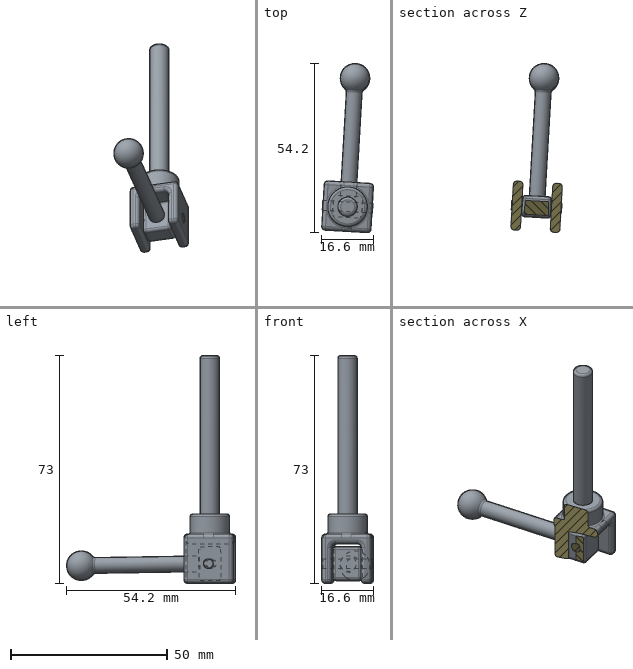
import cadquery as cq
TOTAL_HEIGHT = 73.0
FORK_WIDTH = 15.85
FORK_HEIGHT = 15.85
FORK_FILLET = 1.25
BOSS_DIAMETER = 12.7
BOSS_TOP_Z = 22.3
BOSS_BASE_FILLET = 0.5
SHANK_DIAMETER = 6.2
TOP_FILLET = 0.9

SLOT_WIDTH = 9.5
SLOT_HEIGHT = 12.7
SLOT_CORNER_RADIUS = 1.25

PIN_DIAMETER = 3.15
PIN_HEIGHT = 6.35
PIN_END_FILLET = 0.2
PIN_PROTRUSION = 0.15
PIN_LENGTH = FORK_WIDTH + 2 * PIN_PROTRUSION
BLOCK_WIDTH = 9.2
BLOCK_DEPTH = 6.7
BLOCK_HEIGHT = 10.9
BLOCK_FILLET = 0.95
LEVER_DIAMETER = 5.1
BALL_DIAMETER = 9.5
BALL_DISTANCE = 41.25
NECK_FILLET = 0.9

LEVER_DROOP = 0.9
YAW = -3.3

SELECTION_MARGIN = 0.1


def pivot_cylinder(length):
    """Cylinder along X, centred on the pivot axis; both the pin and the bores it fills."""
    return (
        cq.Workplane("YZ")
        .workplane(offset=-length / 2)
        .center(0, PIN_HEIGHT)
        .circle(PIN_DIAMETER / 2)
        .extrude(length)
    )


def make_pin():
    return pivot_cylinder(PIN_LENGTH).faces("<X or >X").edges().fillet(PIN_END_FILLET)


def make_fork():
    """Slotted head, boss and shank. The boss base is blended before the head edges are rounded."""
    head = cq.Workplane("XY").box(FORK_WIDTH, FORK_WIDTH, FORK_HEIGHT, centered=(True, True, False))
    slot = (
        cq.Workplane("XY")
        .box(SLOT_WIDTH, FORK_WIDTH, SLOT_HEIGHT, centered=(True, True, False))
        .edges("|Y and >Z")
        .fillet(SLOT_CORNER_RADIUS)
    )
    boss = (
        cq.Workplane("XY")
        .workplane(offset=FORK_HEIGHT)
        .circle(BOSS_DIAMETER / 2)
        .extrude(BOSS_TOP_Z - FORK_HEIGHT)
    )
    body = head.cut(slot).union(boss)

    base_rim = body.edges("%CIRCLE").edges(cq.selectors.NearestToPointSelector((0, 0, FORK_HEIGHT)))
    body = base_rim.fillet(BOSS_BASE_FILLET)
    body = body.edges(head_edges()).fillet(FORK_FILLET)
    body = body.faces(">Z").edges().fillet(TOP_FILLET)

    shank = (
        cq.Workplane("XY")
        .workplane(offset=BOSS_TOP_Z)
        .circle(SHANK_DIAMETER / 2)
        .extrude(TOTAL_HEIGHT - BOSS_TOP_Z)
        .faces(">Z")
        .edges()
        .fillet(TOP_FILLET)
    )
    return body.union(shank).cut(pivot_cylinder(FORK_WIDTH))


def head_edges():
    """Selector for every edge of the head, leaving out the rings around the boss."""
    top = FORK_HEIGHT + SELECTION_MARGIN
    whole_head = cq.selectors.BoxSelector(
        (-FORK_WIDTH, -FORK_WIDTH, -FORK_HEIGHT), (FORK_WIDTH, FORK_WIDTH, top)
    )
    on_axis = SELECTION_MARGIN
    boss_rings = cq.selectors.BoxSelector(
        (-on_axis, -on_axis, FORK_HEIGHT - SELECTION_MARGIN), (on_axis, on_axis, BOSS_TOP_Z)
    )
    return whole_head - boss_rings


def make_lever():
    """Pivot block, straight rod and ball knob along +Y, drooping about the pin axis."""
    block = (
        cq.Workplane("XY")
        .box(BLOCK_WIDTH, BLOCK_DEPTH, BLOCK_HEIGHT)
        .edges()
        .fillet(BLOCK_FILLET)
    )
    rod = cq.Workplane("XZ").circle(LEVER_DIAMETER / 2).extrude(-BALL_DISTANCE)
    ball = cq.Workplane("XY").sphere(BALL_DIAMETER / 2).translate((0, BALL_DISTANCE, 0))
    handle = rod.union(ball)
    neck_joint = cq.selectors.NearestToPointSelector((0, BALL_DISTANCE - BALL_DIAMETER / 2, 0))
    handle = handle.edges("%CIRCLE").edges(neck_joint).fillet(NECK_FILLET)
    lever = block.union(handle)
    lever = lever.rotate((0, 0, 0), (1, 0, 0), -LEVER_DROOP).translate((0, 0, PIN_HEIGHT))
    return lever.cut(pivot_cylinder(FORK_WIDTH))


def turn(body):
    """Turn a body about the shank axis into its final place."""
    return body.solids().rotate((0, 0, 0), (0, 0, 1), YAW)


fork = turn(make_fork())
lever = turn(make_lever())
pin = turn(make_pin())

result = cq.Compound.makeCompound([fork.val(), lever.val(), pin.val()])